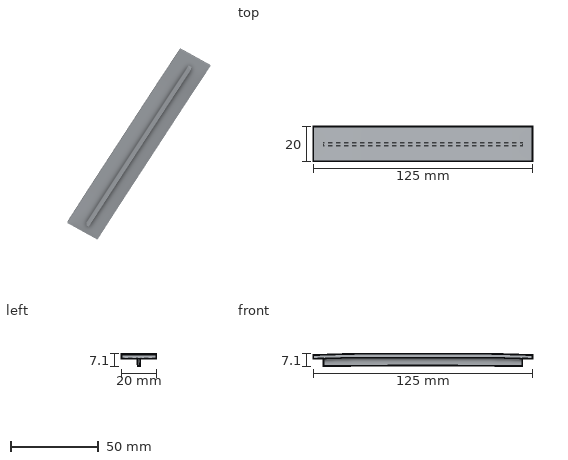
import cadquery as cq
import math

length = 125.0
width = 20.0
height = 7.1

plate_thickness = 2.2
end_drop = 0.74
flat_half_length = 34.1
bend_end = 45.5
edge_width = 1.4
edge_drop = 0.05

rib_length = 113.4
rib_arch_rise = 0.34
rib_top_width = 2.0
rib_bottom_width = 1.4

half_length = length / 2
edge_start = half_length - edge_width

bend_length = bend_end - flat_half_length
slope = (end_drop - edge_drop) / (bend_length / 2 + edge_start - bend_end)
bend_radius = bend_length / math.sin(math.atan(slope))


def bend_depth(x):
    """Fall of the bent surface below the flat middle, within the bend."""
    return bend_radius - math.sqrt(bend_radius**2 - (x - flat_half_length) ** 2)


def slope_depth(x):
    """Fall of the bent surface below the flat middle, beyond the bend."""
    return bend_depth(bend_end) + slope * (x - bend_end)


def bent_strip(outline, level):
    """Trace a bent surface at a level from one end strip to the other, along +X."""
    middle = (flat_half_length + bend_end) / 2
    middle_level = level - bend_depth(middle)
    bend_end_level = level - bend_depth(bend_end)
    return (
        outline.lineTo(-bend_end, bend_end_level)
        .threePointArc((-middle, middle_level), (-flat_half_length, level))
        .lineTo(flat_half_length, level)
        .threePointArc((middle, middle_level), (bend_end, bend_end_level))
        .lineTo(edge_start, level - slope_depth(edge_start))
    )


def space_below(level):
    """Everything the plate could occupy that lies below a bent surface."""
    edge_level = level - slope_depth(edge_start)
    outline = cq.Workplane("XZ").moveTo(-half_length, level - end_drop).lineTo(-edge_start, edge_level)
    outline = bent_strip(outline, level).lineTo(half_length, level - end_drop)
    outline = outline.lineTo(half_length, -height).lineTo(-half_length, -height).close()
    return outline.extrude(width / 2, both=True)


def make_plate():
    """Bent plate of constant height, with a narrow strip along each end."""
    return space_below(0).cut(space_below(-plate_thickness))


def make_rib():
    """Rib with tapering sides and a shallow arched bottom, kept below the plate's top."""
    reach = rib_length / 2
    side = (
        cq.Workplane("XZ")
        .moveTo(-reach, -height)
        .threePointArc((0, rib_arch_rise - height), (reach, -height))
        .lineTo(reach, 0)
        .lineTo(-reach, 0)
        .close()
        .extrude(width / 2, both=True)
    )
    taper = (
        cq.Workplane("YZ")
        .polyline([
            (-rib_top_width / 2, -plate_thickness),
            (-rib_top_width / 2, 0),
            (rib_top_width / 2, 0),
            (rib_top_width / 2, -plate_thickness),
            (rib_bottom_width / 2, -height),
            (-rib_bottom_width / 2, -height),
        ])
        .close()
        .extrude(reach, both=True)
    )
    return side.intersect(taper).intersect(space_below(0))


result = make_plate().union(make_rib())